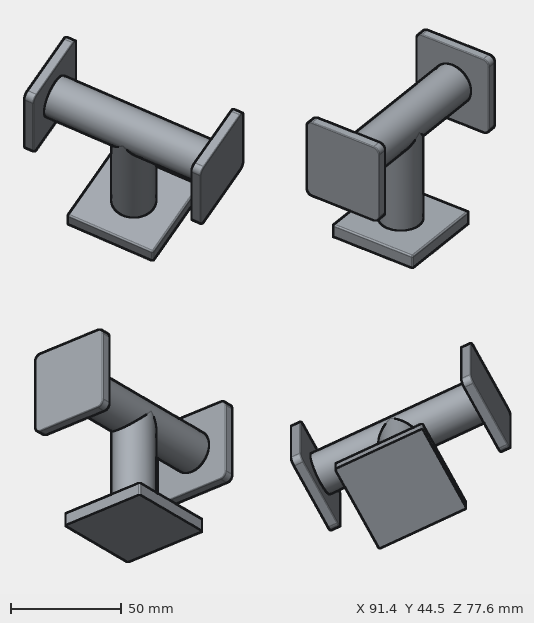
import cadquery as cq

overall_length = 91.44
overall_height = 77.6

base_side = 44.45
base_thickness = 6.6
base_edge_radius = 0.76

plate_side = 40.4
plate_thickness = 5.0
plate_corner_radius = 3.2
plate_edge_radius = 0.4

bar_diameter = 20.6

bar_radius = bar_diameter / 2
bar_axis_height = overall_height - plate_side / 2
bar_length = overall_length - 2 * plate_thickness
plate_center_x = (overall_length - plate_thickness) / 2


def make_base():
    """Square foot, rounded on its upright and top edges; flat underside."""
    block = cq.Workplane("XY").box(
        base_side, base_side, base_thickness, centered=(True, True, False)
    )
    return block.edges("|Z or >Z").fillet(base_edge_radius)


def make_post():
    """Upright cylinder from the foot up to the crossbar axis."""
    post_height = bar_axis_height - base_thickness
    return cq.Workplane("XY", origin=(0, 0, base_thickness)).circle(bar_radius).extrude(post_height)


def make_crossbar():
    """Horizontal cylinder along X between the end plates."""
    start = (-bar_length / 2, 0, bar_axis_height)
    return cq.Workplane("YZ", origin=start).circle(bar_radius).extrude(bar_length)


def make_end_plate(center_x):
    """Square plate facing along X, with rounded corners and softened rims."""
    plate = cq.Workplane("XY").box(plate_thickness, plate_side, plate_side)
    plate = plate.edges("|X").fillet(plate_corner_radius)
    plate = plate.faces("<X or >X").edges().fillet(plate_edge_radius)
    return plate.translate((center_x, 0, bar_axis_height))


result = make_base().union(make_post()).union(make_crossbar())
for side in (-1, 1):
    result = result.union(make_end_plate(side * plate_center_x))